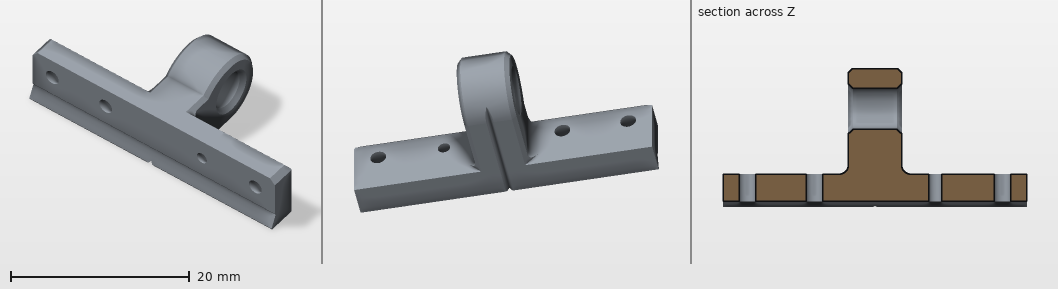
import cadquery as cq
import math

overall_depth = 15.52
bar_length = 34.0
bar_thickness = 3.1
bar_height = 7.27
end_chamfer = 0.7
back_chamfer_depth = 0.45
back_chamfer_height = 0.55

lip_reach = 0.62
lip_tip_height = 0.2
lip_tip_setback = 0.1
undercut_depth = 0.15
undercut_bottom = 1.82
undercut_top = 2.05

hole_height = 4.65
outer_hole_x = 14.25
inner_hole_x = 6.75
screw_hole_diameter = 1.8
pin_hole_diameter = 1.4

arm_width = 6.0
arm_chamfer = 0.5
arm_root_radius = 1.0
arm_start = 1.0
eye_radius = 4.525
eye_y = overall_depth - lip_reach - eye_radius
eye_flat = 0.2
eye_front_radius = 6.0
bore_diameter = 4.5
bore_chamfer = 0.55

mark_depth = 0.5
mark_half_width = 0.42

half_width = arm_width / 2
eye_top = 2 * eye_radius
root_end = bar_thickness + arm_root_radius
through = 2 * bar_length


def extrude_along_x(profile, length):
    """Extrude a closed YZ profile symmetrically about x = 0."""
    return profile.close().extrude(length / 2, both=True)


def extrude_along_y(profile):
    """Extrude a closed XZ profile far past the part in both directions."""
    return profile.close().extrude(through, both=True)


def make_bar():
    side = extrude_along_x(
        cq.Workplane("YZ")
        .moveTo(bar_thickness, 0)
        .lineTo(bar_thickness, bar_height - back_chamfer_height)
        .lineTo(bar_thickness - back_chamfer_depth, bar_height)
        .lineTo(0, bar_height)
        .lineTo(0, undercut_top)
        .lineTo(undercut_depth, undercut_bottom)
        .lineTo(-lip_reach, lip_tip_height)
        .lineTo(lip_tip_setback - lip_reach, 0),
        bar_length,
    )
    half_length = bar_length / 2
    front = extrude_along_y(
        cq.Workplane("XZ")
        .moveTo(-half_length, 0)
        .lineTo(half_length, 0)
        .lineTo(half_length, bar_height - end_chamfer)
        .lineTo(half_length - end_chamfer, bar_height)
        .lineTo(end_chamfer - half_length, bar_height)
        .lineTo(-half_length, bar_height - end_chamfer)
    )
    return side.intersect(front)


def make_arm():
    crown_y = eye_y - eye_flat
    drop = eye_top - bar_height
    arc_angle = math.acos(1 - drop / eye_front_radius)
    arc_center_z = eye_top - eye_front_radius

    def front_arc_point(angle):
        return (
            crown_y - eye_front_radius * math.sin(angle),
            arc_center_z + eye_front_radius * math.cos(angle),
        )

    arm = extrude_along_x(
        cq.Workplane("YZ")
        .moveTo(arm_start, 0)
        .lineTo(eye_y, 0)
        .threePointArc((eye_y + eye_radius, eye_radius), (eye_y, eye_top))
        .lineTo(crown_y, eye_top)
        .threePointArc(front_arc_point(arc_angle / 2), front_arc_point(arc_angle))
        .lineTo(arm_start, bar_height),
        arm_width,
    )
    return arm.faces("<X or >X").chamfer(arm_chamfer)


def make_arm_root():
    """Concave fillets between arm and bar, cut by the arm and bar chamfers carried outward."""
    flare = half_width + arm_root_radius
    inset = arm_root_radius * (1 - math.sqrt(0.5))
    blank = (
        cq.Workplane("XY")
        .moveTo(-flare, arm_start)
        .lineTo(flare, arm_start)
        .lineTo(flare, bar_thickness)
        .threePointArc((half_width + inset, bar_thickness + inset), (half_width, root_end))
        .lineTo(-half_width, root_end)
        .threePointArc((-half_width - inset, bar_thickness + inset), (-flare, bar_thickness))
        .close()
        .extrude(bar_height)
    )
    flat_half = half_width - arm_chamfer
    rise = flare - flat_half
    above_bottom_chamfer = extrude_along_y(
        cq.Workplane("XZ")
        .moveTo(-flat_half, 0)
        .lineTo(flat_half, 0)
        .lineTo(flare, rise)
        .lineTo(flare, bar_height)
        .lineTo(-flare, bar_height)
        .lineTo(-flare, rise)
    )
    below_arm_chamfer = extrude_along_y(
        cq.Workplane("XZ")
        .moveTo(-flare, 0)
        .lineTo(flare, 0)
        .lineTo(flare, bar_height - rise)
        .lineTo(flat_half, bar_height)
        .lineTo(-flat_half, bar_height)
        .lineTo(-flare, bar_height - rise)
    )
    chamfer_start = bar_thickness - back_chamfer_depth
    chamfer_slope = back_chamfer_height / back_chamfer_depth
    chamfer_drop = chamfer_slope * (root_end - chamfer_start)
    below_bar_chamfer = extrude_along_x(
        cq.Workplane("YZ")
        .moveTo(arm_start, 0)
        .lineTo(root_end, 0)
        .lineTo(root_end, bar_height - chamfer_drop)
        .lineTo(chamfer_start, bar_height)
        .lineTo(arm_start, bar_height),
        2 * flare,
    )
    blank = blank.intersect(above_bottom_chamfer)
    return blank.intersect(below_arm_chamfer).union(blank.intersect(below_bar_chamfer))


def make_bore():
    """Cutter for the eye bore, with a conical chamfer at each mouth."""
    bore_radius = bore_diameter / 2
    mouth_radius = bore_radius + bore_chamfer
    return (
        cq.Workplane("XY", origin=(0, eye_y, eye_radius))
        .moveTo(-half_width, 0)
        .lineTo(-half_width, mouth_radius)
        .lineTo(bore_chamfer - half_width, bore_radius)
        .lineTo(half_width - bore_chamfer, bore_radius)
        .lineTo(half_width, mouth_radius)
        .lineTo(half_width, 0)
        .close()
        .revolve(360, (0, 0, 0), (1, 0, 0))
    )


def make_bar_hole(x, diameter):
    """Cutter for one round hole through the bar thickness."""
    return (
        cq.Workplane("XZ", origin=(x, 0, hole_height))
        .circle(diameter / 2)
        .extrude(-bar_thickness)
    )


def make_center_mark():
    return extrude_along_y(
        cq.Workplane("XZ")
        .moveTo(-mark_half_width, 0)
        .lineTo(mark_half_width, 0)
        .lineTo(0, mark_depth)
    )


result = make_bar().union(make_arm()).union(make_arm_root())
result = result.cut(make_bore()).cut(make_center_mark())
for x in (-outer_hole_x, -inner_hole_x, outer_hole_x):
    result = result.cut(make_bar_hole(x, screw_hole_diameter))
result = result.cut(make_bar_hole(inner_hole_x, pin_hole_diameter))